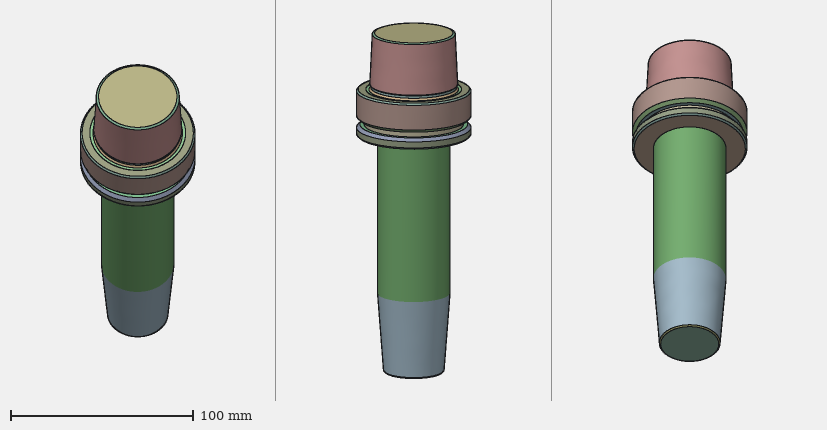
import cadquery as cq

total_height = 191.9
flange_top = 160.0
flange_bottom = 134.0
shank_taper_start = 44.3

shank_radius = 20.0
tip_radius = 16.7
tip_chamfer = 0.8

flange_radius = 31.5
flange_chamfer = 1.0
groove_radius = 27.2
groove_flank_radius = 29.5
groove_flank_height = 1.7
groove_floor_height = 3.3
upper_rim_height = 15.0

relief_radius = 26.3
relief_depth = 0.2

spigot_base_radius = 24.2
spigot_top_radius = 22.8
spigot_chamfer_width = 1.3
spigot_chamfer_height = 0.5
neck_radius = 23.6
neck_height = 2.3
foot_radius = 24.5
foot_height = 1.2
neck_flank_height = 0.5

groove_top = flange_top - upper_rim_height - groove_flank_height
groove_bottom = groove_top - groove_floor_height
relief_floor = flange_top - relief_depth
neck_top = flange_top + neck_height

shank_outline = [
    (0, 0),
    (tip_radius - tip_chamfer, 0),
    (tip_radius, tip_chamfer),
    (shank_radius, shank_taper_start),
    (shank_radius, flange_bottom),
]

flange_outline = [
    (flange_radius - flange_chamfer, flange_bottom),
    (flange_radius, flange_bottom + flange_chamfer),
    (flange_radius, groove_bottom - groove_flank_height),
    (groove_flank_radius, groove_bottom),
    (groove_radius, groove_bottom),
    (groove_radius, groove_top),
    (groove_flank_radius, groove_top),
    (flange_radius, groove_top + groove_flank_height),
    (flange_radius, flange_top - flange_chamfer),
    (flange_radius - flange_chamfer, flange_top),
    (relief_radius, flange_top),
    (relief_radius, relief_floor),
]

spigot_outline = [
    (foot_radius, relief_floor),
    (neck_radius, relief_floor + foot_height),
    (neck_radius, neck_top),
    (spigot_base_radius, neck_top + neck_flank_height),
    (spigot_top_radius, total_height - spigot_chamfer_height),
    (spigot_top_radius - spigot_chamfer_width, total_height),
    (0, total_height),
]

result = (
    cq.Workplane("XZ")
    .polyline(shank_outline + flange_outline + spigot_outline)
    .close()
    .revolve(360, (0, 0, 0), (0, 1, 0))
)